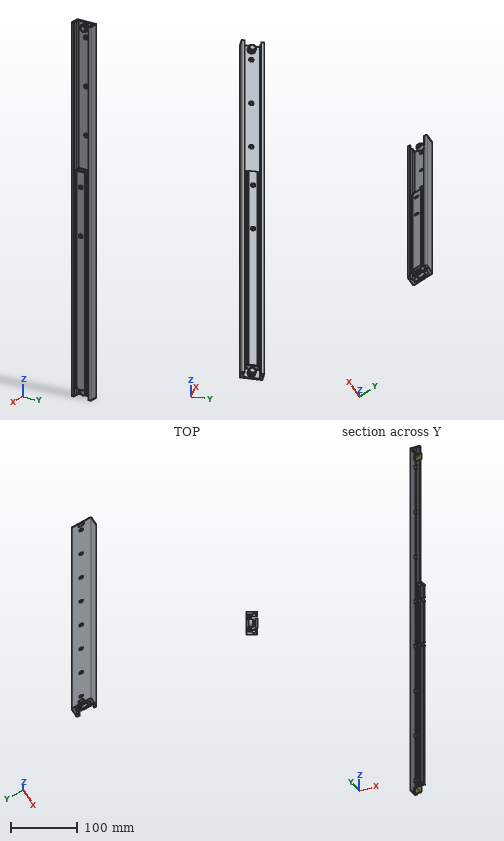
import cadquery as cq

RAIL_LENGTH = 610.0
INNER_WIDTH = 25.5
RAIL_DEPTH = 16.5
WEB_THICKNESS = 3.35
FLANGE_THICKNESS = 4.7
RAIL_WIDTH = INNER_WIDTH + 2 * FLANGE_THICKNESS
OUTER_RADIUS = 1.35
RACEWAY_START = 9.0
RACEWAY_END = 14.0
RACEWAY_DEPTH = 2.0

HOLE_DIAMETER = 7.0
HOLE_COUNT = 8
END_HOLE_OFFSET = 25.0
HOLE_PITCH = (RAIL_LENGTH - 2 * END_HOLE_OFFSET) / (HOLE_COUNT - 1)

SHANK_DIAMETER = 10.0
HEAD_DIAMETER = 12.0
HEAD_END = 11.5
HEAD_CHAMFER = 2.0
PIN_OFFSET = 8.0

CARRIAGE_BOTTOM = PIN_OFFSET + HEAD_DIAMETER / 2
CARRIAGE_LENGTH = 356.0
SLIDER_WIDTH = 14.0
SLIDER_BACK = 13.5
SLIDER_FRONT = 17.0
CAGE_WIDTH = 21.5
CAGE_BACK = 5.0
CAGE_FRONT = 16.5
CAGE_WEB = 2.5
CAGE_LEG = 1.0

FIRST_CARRIAGE_HOLE = 3
CARRIAGE_HOLE_COUNT = 2

RAIL_HOLE_HEIGHTS = [END_HOLE_OFFSET + i * HOLE_PITCH for i in range(HOLE_COUNT)]
CARRIAGE_HOLE_HEIGHTS = RAIL_HOLE_HEIGHTS[FIRST_CARRIAGE_HOLE : FIRST_CARRIAGE_HOLE + CARRIAGE_HOLE_COUNT]
PIN_HEIGHTS = [PIN_OFFSET, RAIL_LENGTH - PIN_OFFSET]


def block(x_start, x_end, width, bottom, length):
    """Box centred on Y, between two X positions, rising from a given height."""
    return cq.Workplane("XY", origin=(x_start, 0, bottom)).box(
        x_end - x_start, width, length, centered=(False, True, False)
    )


def x_cylinder(diameter, x_start, x_end, height):
    """Cylinder along X on the centre plane at a given height."""
    return (
        cq.Workplane("YZ", origin=(x_start, 0, 0))
        .center(0, height)
        .circle(diameter / 2)
        .extrude(x_end - x_start)
    )


def drill(body, heights):
    """Cut mounting-size holes along X through a body."""
    for height in heights:
        body = body.cut(x_cylinder(HOLE_DIAMETER, 0, SLIDER_FRONT, height))
    return body


def make_raceway(side):
    """Cutter for the round groove along the inner face of one flange."""
    face = side * INNER_WIDTH / 2
    groove_bottom = face + side * RACEWAY_DEPTH
    return (
        cq.Workplane("XY")
        .moveTo(RACEWAY_START, face)
        .threePointArc(((RACEWAY_START + RACEWAY_END) / 2, groove_bottom), (RACEWAY_END, face))
        .close()
        .extrude(RAIL_LENGTH)
    )


def make_rail():
    rail = block(0, RAIL_DEPTH, RAIL_WIDTH, 0, RAIL_LENGTH).edges("|Z").fillet(OUTER_RADIUS)
    rail = rail.cut(block(WEB_THICKNESS, RAIL_DEPTH, INNER_WIDTH, 0, RAIL_LENGTH))
    for side in (-1, 1):
        rail = rail.cut(make_raceway(side))
    rail = drill(rail, RAIL_HOLE_HEIGHTS)
    for height in PIN_HEIGHTS:
        rail = rail.cut(x_cylinder(SHANK_DIAMETER, 0, WEB_THICKNESS, height))
    return rail


def make_stop_pin(height):
    head = x_cylinder(HEAD_DIAMETER, WEB_THICKNESS, HEAD_END, height).faces(">X").chamfer(HEAD_CHAMFER)
    return head.union(x_cylinder(SHANK_DIAMETER, 0, WEB_THICKNESS, height))


def make_slider():
    slider = block(SLIDER_BACK, SLIDER_FRONT, SLIDER_WIDTH, CARRIAGE_BOTTOM, CARRIAGE_LENGTH)
    return drill(slider, CARRIAGE_HOLE_HEIGHTS)


def make_cage():
    inner_width = CAGE_WIDTH - 2 * CAGE_LEG
    cage = block(CAGE_BACK, CAGE_FRONT, CAGE_WIDTH, CARRIAGE_BOTTOM, CARRIAGE_LENGTH)
    cage = cage.cut(block(CAGE_BACK + CAGE_WEB, CAGE_FRONT, inner_width, CARRIAGE_BOTTOM, CARRIAGE_LENGTH))
    return drill(cage, CARRIAGE_HOLE_HEIGHTS)


rail = make_rail()
stop_pins = [make_stop_pin(height) for height in PIN_HEIGHTS]
slider = make_slider()
cage = make_cage()

result = cq.Compound.makeCompound([rail.val(), slider.val(), cage.val(), *[pin.val() for pin in stop_pins]])